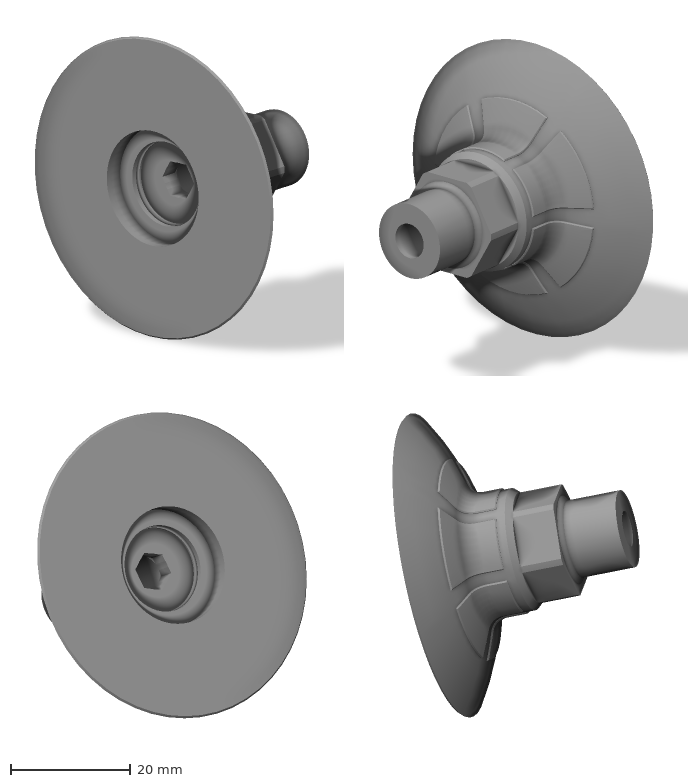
import cadquery as cq
import math


rim_radius = 26.0
rim_width = 0.37
face_radius = 25.7
neck_radius = 10.45
neck_fillet = 3.0
neck_fillet_y = 9.75
skirt_slope = 17.0
collar_y = 14.9
cup_back_y = 16.0
collar_end_radius = 9.5

pad_count = 6
pad_angle = 49.0
pad_height = 0.3
pad_bevel = 0.2
pad_root = 0.6
pad_front_y = 5.2
pad_back_y = 13.4

mouth_radius = 10.0
mouth_depth = 3.5
lip_radius = 7.35
lip_back_y = 4.5
pocket_radius = 9.4
spigot_radius = 7.0

ring_front_y = 5.2
ring_back_y = 5.6
ring_bore_radius = 7.2
plug_front_y = 6.7
plug_edge_fillet = 1.3
socket_flats = 6.0
plug_back_y = 10.0

hex_flats = 17.0
hex_corner_radius = 9.5
hex_back_y = 23.2
shoulder_back_y = 24.0
shoulder_radius = 7.6
thread_radius = 6.6
thread_back_y = 33.2
bore_radius = 3.05


def cylinder(radius, y_start, y_end):
    """Solid cylinder about Y."""
    plane = cq.Workplane("XZ", origin=(0, y_start, 0))
    return plane.circle(radius).extrude(y_start - y_end)


def hexagon(flats, y_start, y_end):
    """Hexagonal prism along Y with two corners on the X axis."""
    corner_diameter = flats / math.cos(math.radians(30))
    plane = cq.Workplane("XZ", origin=(0, y_start, 0))
    return plane.polygon(6, corner_diameter).extrude(y_start - y_end)


def revolve_about_y(profile, angle=360):
    return profile.close().revolve(angle, (0, 0, 0), (0, 1, 0))


slope = math.radians(skirt_slope)
fillet_centre = (neck_radius + neck_fillet, neck_fillet_y)
skirt_start = (
    fillet_centre[0] - neck_fillet * math.sin(slope),
    fillet_centre[1] - neck_fillet * math.cos(slope),
)
chord_run = rim_radius - skirt_start[0]
chord_drop = skirt_start[1] - rim_width
chord_slope = math.atan2(chord_drop, chord_run)
skirt_radius = math.hypot(chord_run, chord_drop) / (2 * math.sin(chord_slope - slope))
skirt_centre = (
    skirt_start[0] - skirt_radius * math.sin(slope),
    skirt_start[1] - skirt_radius * math.cos(slope),
)


rim_angle = math.acos((rim_width - skirt_centre[1]) / skirt_radius)
pad_front_angle = math.acos((pad_front_y - skirt_centre[1]) / skirt_radius)


def fillet_point(direction, height):
    """Point on the neck fillet, raised by height; direction is measured from the face plane."""
    radius = neck_fillet - height
    return (
        fillet_centre[0] - radius * math.cos(direction),
        fillet_centre[1] - radius * math.sin(direction),
    )


def skirt_point(angle, height):
    """Point on the skirt arc, raised by height; angle is measured from the Y direction."""
    radius = skirt_radius + height
    return (
        skirt_centre[0] + radius * math.sin(angle),
        skirt_centre[1] + radius * math.cos(angle),
    )


def outer_profile(back_y, skirt_end_angle, height):
    """Open outline from back_y down the neck and out along the skirt, raised by height."""
    fillet_turn = math.pi / 2 - slope
    neck = neck_radius + height
    return (
        cq.Workplane("XY")
        .moveTo(neck, back_y)
        .lineTo(neck, neck_fillet_y)
        .threePointArc(fillet_point(fillet_turn / 2, height), fillet_point(fillet_turn, height))
        .threePointArc(
            skirt_point((slope + skirt_end_angle) / 2, height),
            skirt_point(skirt_end_angle, height),
        )
    )


def cup_body():
    profile = (
        outer_profile(collar_y, rim_angle, 0)
        .lineTo(face_radius, 0)
        .lineTo(0, 0)
        .lineTo(0, cup_back_y)
        .lineTo(collar_end_radius, cup_back_y)
    )
    return revolve_about_y(profile)


def pad():
    """One raised pad with its outer edges bevelled, centred on +X."""
    profile = (
        outer_profile(pad_back_y, pad_front_angle, pad_height)
        .lineTo(*skirt_point(pad_front_angle, -pad_root))
        .lineTo(neck_radius - pad_root, pad_front_y)
        .lineTo(neck_radius - pad_root, pad_back_y)
    )
    block = revolve_about_y(profile, pad_angle)
    block = block.rotate((0, 0, 0), (0, 1, 0), -pad_angle / 2)

    neck_face = block.faces("%CYLINDER").faces(">X")
    raised_faces = neck_face.add(block.faces("%TORUS or %REVOLUTION"))
    raised_edges = [edge for face in raised_faces.vals() for edge in face.Edges()]
    outline_edges = [
        edge for edge in raised_edges if sum(edge.isSame(other) for other in raised_edges) == 1
    ]
    return block.newObject(outline_edges).chamfer(pad_bevel)


def suction_cup():
    cup = cup_body()
    for index in range(pad_count):
        angle = 90 + index * 360 / pad_count
        cup = cup.union(pad().rotate((0, 0, 0), (0, 1, 0), angle))
    cup = cup.cut(cylinder(mouth_radius, 0, mouth_depth))
    cup = cup.cut(cylinder(lip_radius, mouth_depth, lip_back_y))
    cup = cup.cut(cylinder(pocket_radius, lip_back_y, plug_back_y))
    return cup.cut(cylinder(spigot_radius, plug_back_y, cup_back_y))


def retaining_ring():
    ring = cylinder(pocket_radius, ring_front_y, ring_back_y)
    return ring.cut(cylinder(ring_bore_radius, ring_front_y, ring_back_y))


def socket_plug():
    plug = cylinder(pocket_radius, plug_front_y, plug_back_y)
    plug = plug.faces("<Y").edges().fillet(plug_edge_fillet)
    plug = plug.cut(hexagon(socket_flats, plug_front_y, plug_back_y))
    return plug.cut(cylinder(bore_radius, plug_front_y, plug_back_y))


def threaded_fitting():
    spigot = cylinder(spigot_radius, plug_back_y, cup_back_y)
    hex_section = hexagon(hex_flats, cup_back_y, hex_back_y)
    hex_section = hex_section.intersect(cylinder(hex_corner_radius, cup_back_y, hex_back_y))
    stub_profile = (
        cq.Workplane("XY")
        .moveTo(0, hex_back_y)
        .lineTo(shoulder_radius, hex_back_y)
        .lineTo(thread_radius, shoulder_back_y)
        .lineTo(thread_radius, thread_back_y)
        .lineTo(0, thread_back_y)
    )
    fitting = spigot.union(hex_section).union(revolve_about_y(stub_profile))
    return fitting.cut(cylinder(bore_radius, plug_back_y, thread_back_y))


result = cq.Compound.makeCompound(
    [
        suction_cup().val(),
        retaining_ring().val(),
        socket_plug().val(),
        threaded_fitting().val(),
    ]
)